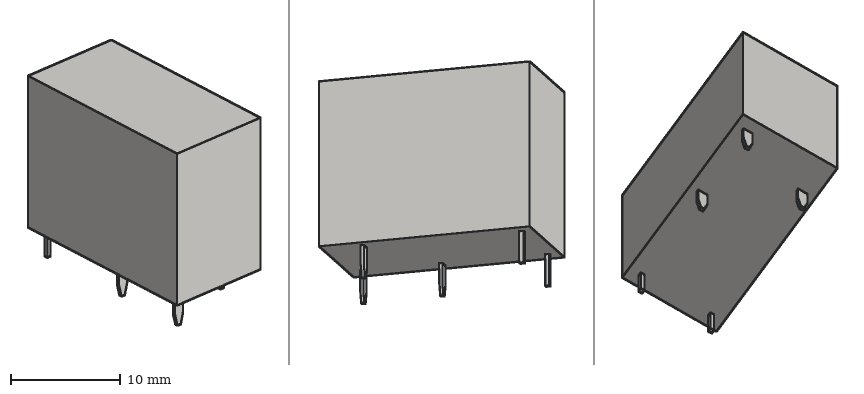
import cadquery as cq

HOUSING_LENGTH = 20.3
HOUSING_WIDTH = 10.31
TOTAL_HEIGHT = 18.8
PIN_LENGTH = 3.0
HOUSING_HEIGHT = TOTAL_HEIGHT - PIN_LENGTH

PITCH = 2.54
ROW_SPACING = 3 * PITCH
FRONT_ROW_Y = -ROW_SPACING / 2
BACK_ROW_Y = ROW_SPACING / 2
END_MARGIN = 1.18
COIL_PIN_X = -HOUSING_LENGTH / 2 + END_MARGIN
MIDDLE_BLADE_X = COIL_PIN_X + 4 * PITCH
BACK_BLADE_X = COIL_PIN_X + 6 * PITCH
END_BLADE_X = COIL_PIN_X + 7 * PITCH

COIL_PIN_SIDE = 0.4

BLADE_THICKNESS = 0.3
BLADE_WIDTH = 1.0
BLADE_TIP_WIDTH = 0.4
BLADE_TAPER_LENGTH = 1.2

COIL_PIN_POSITIONS = [
    (COIL_PIN_X, FRONT_ROW_Y),
    (COIL_PIN_X, BACK_ROW_Y),
]
BLADE_POSITIONS = [
    (MIDDLE_BLADE_X, FRONT_ROW_Y),
    (BACK_BLADE_X, BACK_ROW_Y),
    (END_BLADE_X, FRONT_ROW_Y),
]


def make_housing():
    """Rectangular block standing on the Z = 0 plane."""
    return cq.Workplane("XY").rect(HOUSING_LENGTH, HOUSING_WIDTH).extrude(HOUSING_HEIGHT)


def make_coil_pin(x, y):
    """Straight square pin hanging from the housing base."""
    return cq.Workplane("XY").center(x, y).rect(COIL_PIN_SIDE, COIL_PIN_SIDE).extrude(-PIN_LENGTH)


def make_contact_blade(x, y):
    """Flat blade hanging from the housing base, narrowing in Y at its tip."""
    half_width = BLADE_WIDTH / 2
    half_tip = BLADE_TIP_WIDTH / 2
    taper_start_z = BLADE_TAPER_LENGTH - PIN_LENGTH
    outline = [
        (-half_width, 0),
        (-half_width, taper_start_z),
        (-half_tip, -PIN_LENGTH),
        (half_tip, -PIN_LENGTH),
        (half_width, taper_start_z),
        (half_width, 0),
    ]
    blade = cq.Workplane("YZ").polyline(outline).close().extrude(BLADE_THICKNESS / 2, both=True)
    return blade.translate((x, y, 0))


housing = make_housing()
coil_pins = [make_coil_pin(x, y) for x, y in COIL_PIN_POSITIONS]
contact_blades = [make_contact_blade(x, y) for x, y in BLADE_POSITIONS]

result = cq.Compound.makeCompound([
    housing.val(),
    *[pin.val() for pin in coil_pins],
    *[blade.val() for blade in contact_blades],
])